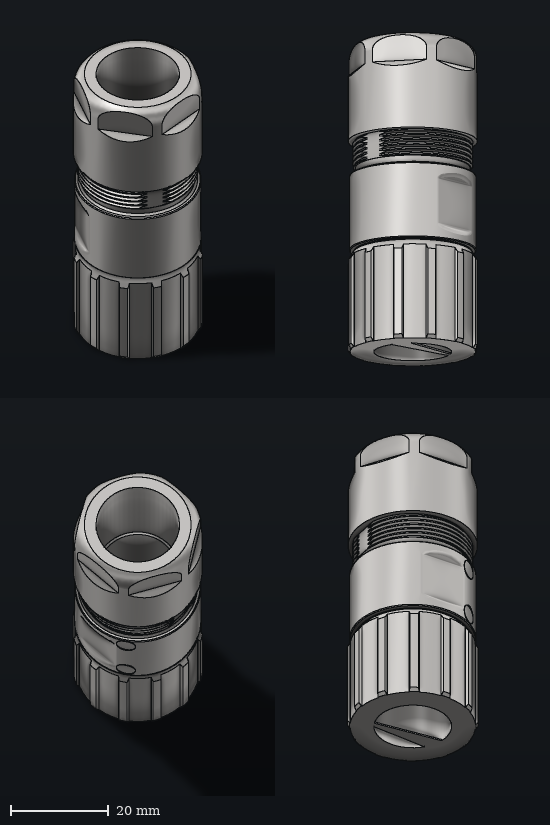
import cadquery as cq
import math

overlap = 0.3

total_height = 64.6
nut_bottom = 44.2
thread_bottom = 38.65
collar_top = 37.35
collar_bottom = 21.2
coupling_top = 20.95

rib_radius = 13.45
panel_radius = 12.85
coupling_top_radius = 12.15
coupling_shoulder_height = 2.1
coupling_foot_width = 0.45
coupling_foot_height = 0.8
rib_count = 12
rib_crest_width = 1.7
rib_base_width = 2.1

collar_radius = 13.0
collar_edge = 0.2
collar_ledge_inner_radius = 12.3
collar_ledge_outer_radius = 12.8
collar_ledge_drop = 0.4
neck_radius = 11.75
groove_radius = 11.95

recess_apothem = 11.95
recess_bottom = 24.1
recess_top = 33.85
recess_edge_round = 1.15
recess_corner_round = 0.65
rim_tolerance = 0.05

dimple_radius = 2.0
dimple_depth = 0.2
dimple_levels = (23.65, 34.55)
dimple_angle = 122.0

thread_root_radius = 11.9
thread_crest_radius = 12.35
thread_turns = 5.5
thread_pitch = (nut_bottom - thread_bottom) / thread_turns
thread_root_overlap = 0.1
thread_base_width = 0.9 * thread_pitch

nut_radius = 13.25
nut_face_radius = 10.9
nut_round_height = 3.55
nut_flat_count = 6
nut_flat_apothem = 11.95
nut_flat_bottom = 58.55

nut_bore_radius = 8.5
body_bore_radius = 7.95
tongue_thickness = 0.3
tongue_wide_y = (-5.4, -1.4)
tongue_narrow_y = (-4.1, -3.15)


def revolved(outline):
    return outline.close().revolve(360, (0, 0, 0), (0, 1, 0))


def disc(radius, bottom, top):
    return cq.Workplane("XY").workplane(offset=bottom).circle(radius).extrude(top - bottom)


def coupling_blank(radius):
    """Solid of revolution of the coupling ring's silhouette, cut off at the given radius."""
    shoulder = (
        cq.Workplane("XZ")
        .moveTo(0, 0)
        .lineTo(rib_radius - coupling_foot_width, 0)
        .lineTo(rib_radius, coupling_foot_height)
        .lineTo(rib_radius, coupling_top - coupling_shoulder_height)
        .lineTo(coupling_top_radius, coupling_top)
        .lineTo(0, coupling_top)
    )
    return revolved(shoulder).intersect(disc(radius, 0, coupling_top))


def make_coupling():
    root = panel_radius - 2 * overlap
    tip = rib_radius + overlap
    rib = (
        cq.Workplane("XY")
        .moveTo(root, -rib_base_width / 2)
        .lineTo(panel_radius, -rib_base_width / 2)
        .lineTo(rib_radius, -rib_crest_width / 2)
        .lineTo(tip, -rib_crest_width / 2)
        .lineTo(tip, rib_crest_width / 2)
        .lineTo(rib_radius, rib_crest_width / 2)
        .lineTo(panel_radius, rib_base_width / 2)
        .lineTo(root, rib_base_width / 2)
        .close()
        .extrude(coupling_top)
    )
    star = disc(root + overlap, 0, coupling_top)
    for index in range(rib_count):
        star = star.union(rib.rotate((0, 0, 0), (0, 0, 1), index * 360 / rib_count))
    ribs = star.intersect(coupling_blank(rib_radius))
    return coupling_blank(panel_radius).union(ribs)


def on_collar_surface(point):
    return abs(math.hypot(point.x, point.y) - collar_radius) < rim_tolerance


def make_collar():
    ledge_level = collar_top - collar_ledge_drop
    collar = revolved(
        cq.Workplane("XZ")
        .moveTo(0, collar_bottom)
        .lineTo(collar_radius - collar_edge, collar_bottom)
        .lineTo(collar_radius, collar_bottom + collar_edge)
        .lineTo(collar_radius, ledge_level - collar_edge)
        .lineTo(collar_ledge_outer_radius, ledge_level)
        .lineTo(collar_ledge_inner_radius, ledge_level)
        .lineTo(neck_radius, collar_top)
        .lineTo(0, collar_top)
    )
    reach = collar_radius + overlap - recess_apothem
    for side in (-1, 1):
        recess = (
            cq.Workplane("YZ")
            .moveTo(side * recess_apothem, recess_bottom)
            .lineTo(side * recess_apothem, recess_top)
            .lineTo(side * (recess_apothem + reach), recess_top + reach)
            .lineTo(side * (recess_apothem + reach), recess_bottom - reach)
            .close()
            .extrude(collar_radius, both=True)
            .edges("|X")
            .edges("<Y" if side > 0 else ">Y")
            .fillet(recess_corner_round)
        )
        collar = collar.cut(recess)
        rim = [
            edge
            for edge in collar.edges().vals()
            if side * edge.Center().y > recess_apothem - rim_tolerance
            and recess_bottom - reach < edge.Center().z < recess_top + reach
            and on_collar_surface(edge.startPoint())
            and on_collar_surface(edge.endPoint())
        ]
        collar = collar.newObject(rim).fillet(recess_edge_round)
    for level in dimple_levels:
        dimple = (
            cq.Workplane("YZ", origin=(collar_radius - dimple_depth, 0, level))
            .circle(dimple_radius)
            .extrude(2 * dimple_depth)
            .rotate((0, 0, 0), (0, 0, 1), dimple_angle)
        )
        collar = collar.cut(dimple)
    return collar


def make_thread():
    thread_length = nut_bottom - thread_bottom
    ridge_bottom = thread_bottom - thread_pitch / 2
    inner = thread_root_radius - thread_root_overlap
    half_base = thread_base_width / 2
    helix = cq.Wire.makeHelix(thread_pitch, thread_length + thread_pitch, inner).translate(
        cq.Vector(0, 0, ridge_bottom)
    )
    ridge = (
        cq.Workplane("XZ")
        .moveTo(inner, ridge_bottom - half_base)
        .lineTo(thread_crest_radius, ridge_bottom)
        .lineTo(inner, ridge_bottom + half_base)
        .close()
        .sweep(cq.Workplane(helix), isFrenet=True)
    )
    core = disc(thread_root_radius, thread_bottom - thread_pitch, nut_bottom + thread_pitch)
    flats = (
        cq.Workplane("XY", origin=(0, 0, thread_bottom))
        .rect(2 * neck_radius, 2 * (thread_crest_radius + overlap))
        .extrude(thread_length)
    )
    return core.union(ridge).intersect(flats)


def make_nut():
    rise = nut_round_height
    run = nut_radius - nut_face_radius
    round_radius = (run**2 + rise**2) / (2 * run)
    round_level = total_height - nut_round_height
    half_sweep = math.asin(rise / round_radius) / 2
    round_middle = (
        nut_radius - round_radius * (1 - math.cos(half_sweep)),
        round_level + round_radius * math.sin(half_sweep),
    )
    nut = revolved(
        cq.Workplane("XZ")
        .moveTo(0, nut_bottom)
        .lineTo(nut_radius, nut_bottom)
        .lineTo(nut_radius, round_level)
        .threePointArc(round_middle, (nut_face_radius, total_height))
        .lineTo(0, total_height)
    )
    reach = nut_radius + overlap - nut_flat_apothem
    flat = (
        cq.Workplane("YZ")
        .moveTo(nut_flat_apothem, nut_flat_bottom)
        .lineTo(nut_flat_apothem + reach, nut_flat_bottom - reach)
        .lineTo(nut_flat_apothem + reach, total_height)
        .lineTo(nut_flat_apothem, total_height)
        .close()
        .extrude(nut_radius, both=True)
    )
    for index in range(nut_flat_count):
        nut = nut.cut(flat.rotate((0, 0, 0), (0, 0, 1), index * 360 / nut_flat_count))
    return nut


def make_tongue():
    reach = body_bore_radius + overlap
    return (
        cq.Workplane("XY")
        .moveTo(-reach, tongue_wide_y[0])
        .lineTo(-reach, tongue_wide_y[1])
        .lineTo(reach, tongue_narrow_y[1])
        .lineTo(reach, tongue_narrow_y[0])
        .close()
        .extrude(tongue_thickness)
        .intersect(disc(reach, 0, tongue_thickness))
    )


groove = disc(groove_radius, coupling_top, collar_bottom)
neck = disc(neck_radius, collar_top, thread_bottom)
body = make_coupling().union(groove).union(make_collar()).union(neck)
body = body.union(make_thread()).union(make_nut())
body = body.cut(disc(body_bore_radius, 0, total_height))
body = body.cut(disc(nut_bore_radius, nut_bottom, total_height))
result = body.union(make_tongue())